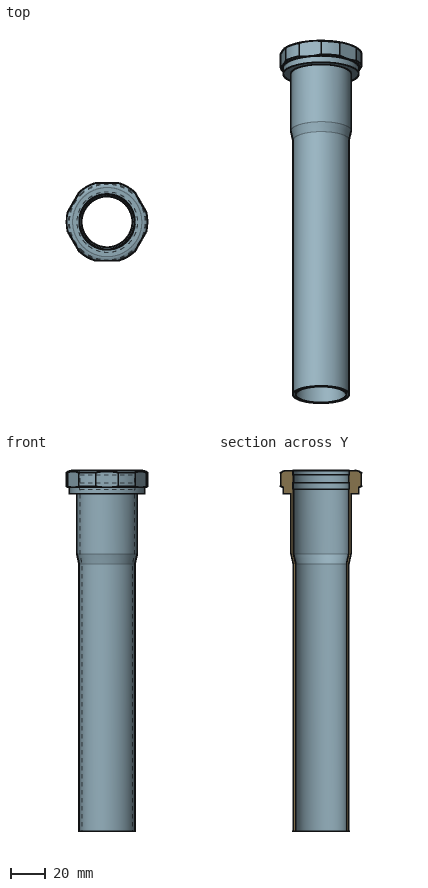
import cadquery as cq
import math

LENGTH = 207.1

ACROSS_FLATS = 44.7
ACROSS_CORNERS = ACROSS_FLATS / math.cos(math.radians(30))
NUT_BLANK_DIAMETER = 46.5
NUT_TOP_FACE_DIAMETER = 39.8
NUT_CROWN_DROP = 1.35
NUT_BOTTOM_CHAMFER_WIDTH = 1.0
NUT_BOTTOM_CHAMFER_HEIGHT = 0.6
NUT_HEIGHT = 9.7
COLLAR_DIAMETER = 43.5
COLLAR_HEIGHT = 3.7

TUBE_WALL = 1.7
SOCKET_DIAMETER = 34.8
TUBE_DIAMETER = 32.3
SOCKET_BORE_DIAMETER = SOCKET_DIAMETER - 2 * TUBE_WALL
TUBE_BORE_DIAMETER = TUBE_DIAMETER - 2 * TUBE_WALL
TAPER_START_DEPTH = 47.8
TAPER_END_DEPTH = 53.5

RECESS_DIAMETER = 32.1
MOUTH_DEPTH = 2.5
GROOVE_TOP_DEPTH = 7.0
GROOVE_BOTTOM_DEPTH = 10.8

COLLAR_TOP = LENGTH - NUT_HEIGHT
COLLAR_BOTTOM = COLLAR_TOP - COLLAR_HEIGHT
TAPER_TOP = LENGTH - TAPER_START_DEPTH
TAPER_BOTTOM = LENGTH - TAPER_END_DEPTH


def revolve_about_z(points):
    """Turn a closed (radius, height) outline around the Z axis."""
    return cq.Workplane("XZ").polyline(points).close().revolve(360, (0, 0), (0, 1))


def make_disc(diameter, bottom, top):
    """Solid cylinder on the Z axis between two heights."""
    return cq.Workplane("XY", origin=(0, 0, bottom)).circle(diameter / 2).extrude(top - bottom)


def make_nut_blank():
    """Round blank with a crowned top edge and a chamfered bottom edge."""
    blank_radius = NUT_BLANK_DIAMETER / 2
    top_radius = NUT_TOP_FACE_DIAMETER / 2
    return (
        cq.Workplane("XZ")
        .moveTo(0, COLLAR_TOP)
        .lineTo(0, LENGTH)
        .lineTo(top_radius, LENGTH)
        .tangentArcPoint((blank_radius, LENGTH - NUT_CROWN_DROP), relative=False)
        .lineTo(blank_radius, COLLAR_TOP + NUT_BOTTOM_CHAMFER_HEIGHT)
        .lineTo(blank_radius - NUT_BOTTOM_CHAMFER_WIDTH, COLLAR_TOP)
        .close()
        .revolve(360, (0, 0), (0, 1))
    )


def make_nut():
    """Hexagon with two flats facing +Y and -Y, its corners trimmed by the round blank."""
    hexagon = (
        cq.Workplane("XY", origin=(0, 0, COLLAR_TOP))
        .polygon(6, ACROSS_CORNERS)
        .extrude(NUT_HEIGHT)
    )
    return hexagon.intersect(make_nut_blank())


def make_tube():
    """Outside of the tube: long narrow part, taper and wide socket up to the nut."""
    return revolve_about_z([
        (0, 0),
        (TUBE_DIAMETER / 2, 0),
        (TUBE_DIAMETER / 2, TAPER_BOTTOM),
        (SOCKET_DIAMETER / 2, TAPER_TOP),
        (SOCKET_DIAMETER / 2, COLLAR_TOP),
        (0, COLLAR_TOP),
    ])


def make_bore():
    """Through bore that keeps an even wall along the tube, plus the two recesses."""
    bore = revolve_about_z([
        (0, 0),
        (TUBE_BORE_DIAMETER / 2, 0),
        (TUBE_BORE_DIAMETER / 2, TAPER_BOTTOM),
        (SOCKET_BORE_DIAMETER / 2, TAPER_TOP),
        (SOCKET_BORE_DIAMETER / 2, LENGTH),
        (0, LENGTH),
    ])
    mouth = make_disc(RECESS_DIAMETER, LENGTH - MOUTH_DEPTH, LENGTH)
    groove = make_disc(RECESS_DIAMETER, LENGTH - GROOVE_BOTTOM_DEPTH, LENGTH - GROOVE_TOP_DEPTH)
    return bore.union(mouth).union(groove)


collar = make_disc(COLLAR_DIAMETER, COLLAR_BOTTOM, COLLAR_TOP)
result = make_tube().union(collar).union(make_nut()).cut(make_bore())